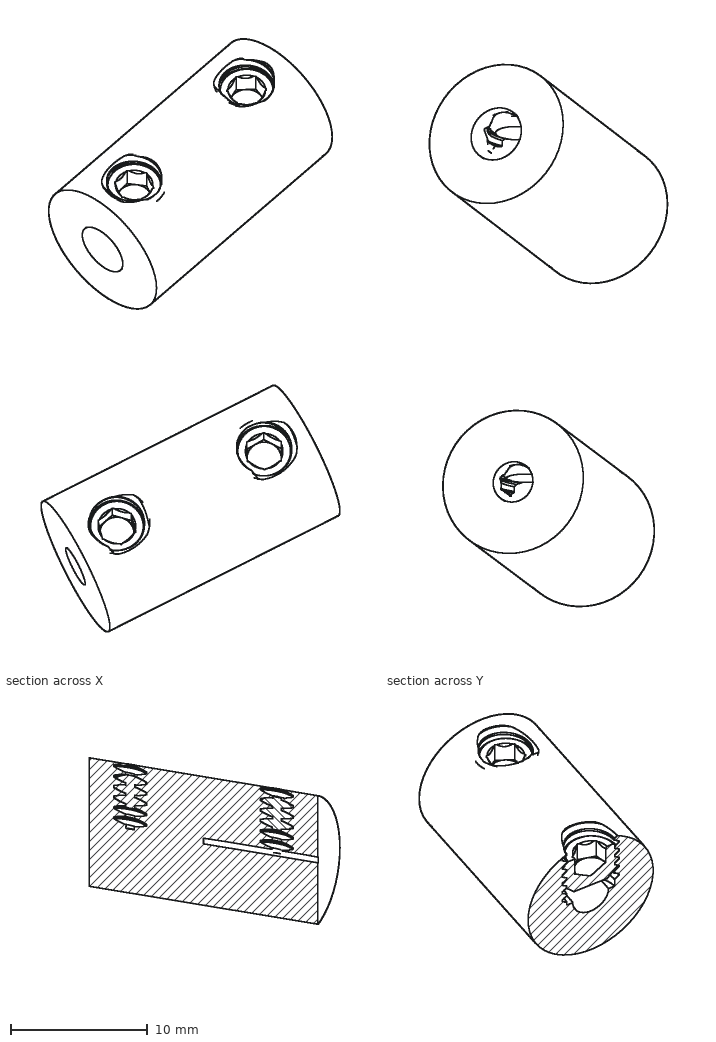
import cadquery as cq
import math

sleeve_length = 19.05
sleeve_radius = 5.33
wide_bore_radius = 2.0
narrow_bore_radius = 1.5
drill_point_angle = 118.0

thread_pitch = 0.8
thread_major_radius = 2.4
thread_minor_radius = 2.02
thread_tip_width = thread_pitch / 8
thread_valley_width = thread_pitch / 4
thread_base_width = thread_pitch - thread_valley_width
ridge_overlap = 0.04
tap_bottom_z = 0.0
tap_height = sleeve_radius + thread_pitch

screw_length = 3.2
screw_tip_radius = 1.43
screw_top_radius = 1.92
blank_clearance = 0.1
blank_radius = thread_major_radius + blank_clearance
socket_across_flats = 2.5
socket_mouth_radius = 1.37
socket_mouth_angle = 60.0
socket_mouth_depth = 0.38
socket_depth = 1.52

screw_y = 6.1
screw_placements = [
    (-screw_y, 1.18, 255.0, 3.0),
    (screw_y, 1.0, 287.0, 15.0),
]


def drill_cone_height(radius):
    """Height over which a drill point widens by the given radius."""
    return radius / math.tan(math.radians(drill_point_angle / 2))


def turned_solid(outline):
    """Solid of revolution about Z from (radius, z) points."""
    return cq.Workplane("XZ").polyline(outline).close().revolve(360, (0, 0), (0, 1))


def threaded_rod(turn):
    """Threaded rod along Z, starting at the depth of the tapped holes."""
    core = cq.Workplane("XY").workplane(offset=tap_bottom_z).circle(thread_minor_radius).extrude(tap_height)
    flank_slope = (thread_base_width - thread_tip_width) / (thread_major_radius - thread_minor_radius)
    inner_half_width = (thread_base_width + ridge_overlap * flank_slope) / 2
    inner_radius = thread_minor_radius - ridge_overlap
    path = cq.Wire.makeHelix(thread_pitch, tap_height - thread_pitch, thread_minor_radius)
    ridge = (
        cq.Workplane("XZ")
        .polyline([
            (inner_radius, -inner_half_width),
            (thread_major_radius, -thread_tip_width / 2),
            (thread_major_radius, thread_tip_width / 2),
            (inner_radius, inner_half_width),
        ])
        .close()
        .sweep(cq.Workplane(obj=path), isFrenet=True)
        .translate((0, 0, tap_bottom_z + thread_pitch / 2))
    )
    return core.union(ridge).rotate((0, 0, 0), (0, 0, 1), turn)


def make_sleeve():
    """Sleeve with a wide front bore, a narrow rear bore and the tapped holes."""
    half = sleeve_length / 2
    sleeve = cq.Workplane("XZ", origin=(0, half, 0)).circle(sleeve_radius).extrude(sleeve_length)
    cone_end_y = drill_cone_height(wide_bore_radius - narrow_bore_radius)
    bore = (
        cq.Workplane("XY")
        .polyline([
            (0, -half),
            (wide_bore_radius, -half),
            (wide_bore_radius, 0),
            (narrow_bore_radius, cone_end_y),
            (narrow_bore_radius, half),
            (0, half),
        ])
        .close()
        .revolve(360, (0, 0), (0, 1))
    )
    sleeve = sleeve.cut(bore)
    for y, _, thread_turn, _ in screw_placements:
        sleeve = sleeve.cut(threaded_rod(thread_turn).translate((0, y, 0)))
    return sleeve


def make_screw(tip_z, thread_turn, socket_turn):
    """Set screw along Z with chamfered ends and a hexagon socket."""
    top_z = tip_z + screw_length
    tip_chamfer = blank_radius - screw_tip_radius
    top_chamfer = blank_radius - screw_top_radius
    blank = turned_solid([
        (0, tip_z),
        (screw_tip_radius, tip_z),
        (blank_radius, tip_z + tip_chamfer),
        (blank_radius, top_z - top_chamfer),
        (screw_top_radius, top_z),
        (0, top_z),
    ])
    socket_floor_z = top_z - socket_depth
    hexagon = (
        cq.Workplane("XY", origin=(0, 0, socket_floor_z))
        .polygon(6, socket_across_flats, circumscribed=True)
        .extrude(socket_depth)
        .rotate((0, 0, 0), (0, 0, 1), socket_turn)
    )
    drill_radius = socket_across_flats / 2
    drill_point = turned_solid([
        (0, socket_floor_z - drill_cone_height(drill_radius)),
        (drill_radius, socket_floor_z),
        (0, socket_floor_z),
    ])
    mouth_taper = socket_mouth_depth * math.tan(math.radians(socket_mouth_angle / 2))
    mouth = turned_solid([
        (0, top_z - socket_mouth_depth),
        (socket_mouth_radius - mouth_taper, top_z - socket_mouth_depth),
        (socket_mouth_radius, top_z),
        (0, top_z),
    ])
    return threaded_rod(thread_turn).intersect(blank).cut(hexagon).cut(drill_point).cut(mouth)


sleeve = make_sleeve()
screws = [
    make_screw(tip_z, thread_turn, socket_turn).translate((0, y, 0))
    for y, tip_z, thread_turn, socket_turn in screw_placements
]

result = cq.Compound.makeCompound([sleeve.val(), *[screw.val() for screw in screws]])